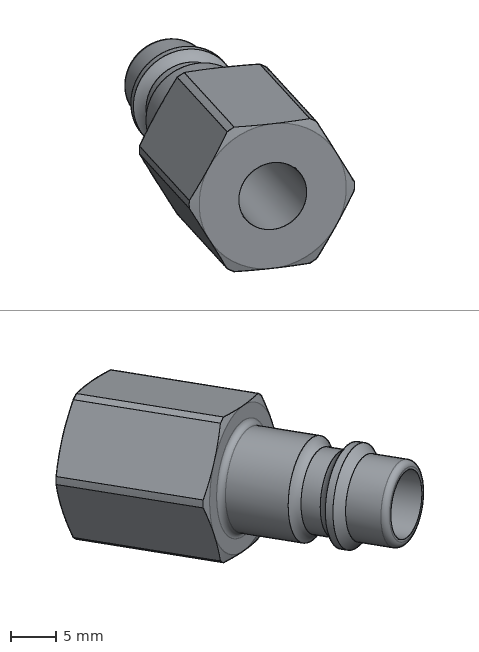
import cadquery as cq
import math

total_length = 38.5
bore_diameter = 7.85
nose_diameter = 9.9
groove_diameter = 9.8
body_diameter = 12.0
hex_across_flats = 17.0
hex_across_corners = 19.15

collar_ramp_start = 5.05
collar_start = 6.1
collar_end = 7.0
groove_start = 8.15
groove_end = 10.5
body_start = 11.55
hex_start = 19.95

nose_round = 0.75
body_fillet = 0.75
groove_wall_radius = 2.3
hex_chamfer_angle = 15.0

nose_radius = nose_diameter / 2
groove_radius = groove_diameter / 2
body_radius = body_diameter / 2


def round_point(center_x, center_r, radius, angle):
    """Point on a circle in the axial half-plane, with the angle in degrees."""
    turn = math.radians(angle)
    return center_x + radius * math.cos(turn), center_r + radius * math.sin(turn)


def make_spigot():
    """Turned nose, collar, hollow-walled groove and body, flared into the hexagon face."""
    nose_arc_middle = round_point(nose_round, nose_radius - nose_round, nose_round, 135)
    flare_start = hex_start - body_fillet
    flare_radius = body_radius + body_fillet
    flare_arc_middle = round_point(flare_start, flare_radius, body_fillet, -45)
    return (
        cq.Workplane("XY")
        .lineTo(0, nose_radius - nose_round)
        .threePointArc(nose_arc_middle, (nose_round, nose_radius))
        .lineTo(collar_ramp_start, nose_radius)
        .lineTo(collar_start, body_radius)
        .lineTo(collar_end, body_radius)
        .radiusArc((groove_start, groove_radius), -groove_wall_radius)
        .lineTo(groove_end, groove_radius)
        .radiusArc((body_start, body_radius), -groove_wall_radius)
        .lineTo(flare_start, body_radius)
        .threePointArc(flare_arc_middle, (hex_start, flare_radius))
        .lineTo(hex_start, 0)
        .close()
        .revolve(360, (0, 0, 0), (1, 0, 0))
    )


def make_hexagon():
    """Hexagon with top and bottom flats, turned to round its corners and chamfer its ends."""
    sharp_corners = hex_across_flats / math.cos(math.radians(30))
    prism = (
        cq.Workplane("YZ", origin=(hex_start, 0, 0))
        .polygon(6, sharp_corners)
        .extrude(total_length - hex_start)
    )
    end_radius = hex_across_flats / 2
    corner_radius = hex_across_corners / 2
    chamfer_length = (corner_radius - end_radius) * math.tan(math.radians(hex_chamfer_angle))
    turned_envelope = (
        cq.Workplane("XY")
        .moveTo(hex_start, 0)
        .lineTo(hex_start, end_radius)
        .lineTo(hex_start + chamfer_length, corner_radius)
        .lineTo(total_length - chamfer_length, corner_radius)
        .lineTo(total_length, end_radius)
        .lineTo(total_length, 0)
        .close()
        .revolve(360, (0, 0, 0), (1, 0, 0))
    )
    return prism.intersect(turned_envelope)


bore = cq.Workplane("YZ").circle(bore_diameter / 2).extrude(total_length)

result = make_spigot().union(make_hexagon()).cut(bore)